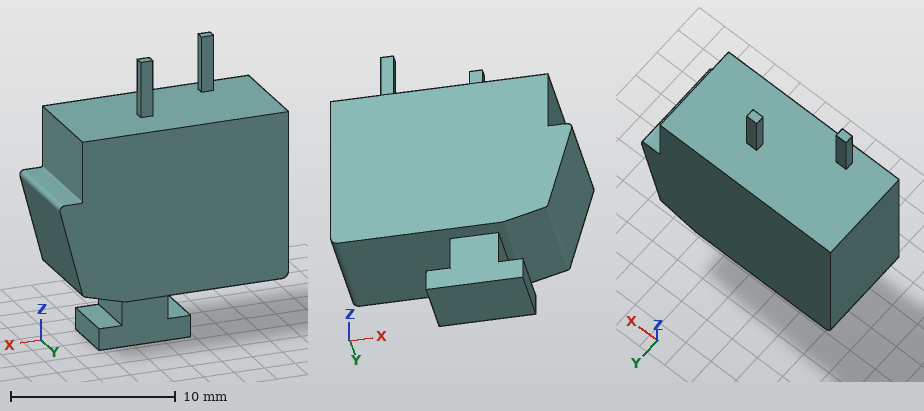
import cadquery as cq

total_length = 15.0
total_height = 18.1
body_width = 6.5

body_bottom = 3.64
body_top = 14.5
body_length = 13.52
nose_top = 10.52
nose_overlength = 0.09
slope_start = 10.72
chin_height = 0.75
chin_x = 13.48
bottom_corner_radius = 0.47
nose_tip_radius = 0.3
chin_radius = 0.22
step_radius = 0.1

foot_length = 6.01
foot_height = 1.41
stem_length = 3.0
foot_center_x = 8.75
foot_front = 0.98
foot_width = 3.82

pin_count = 2
pin_length = 0.8
pin_width = 0.6
pin_pitch_x = 5.0
pin_pitch_y = 2.5
first_pin_x = 3.31
first_pin_y = 1.25


def box(length, width, height, x_center, y_center, bottom):
    """Box centred in X and Y and standing on the given height."""
    return (
        cq.Workplane("XY", origin=(x_center, y_center, bottom))
        .box(length, width, height, centered=(True, True, False))
    )


def make_housing():
    """Side profile with a nose, extruded across the width and rounded."""
    nose_corner_x = total_length + nose_overlength
    chin_z = body_bottom + chin_height
    housing = (
        cq.Workplane("XZ")
        .moveTo(0, body_bottom)
        .lineTo(slope_start, body_bottom)
        .lineTo(chin_x, chin_z)
        .lineTo(nose_corner_x, nose_top)
        .lineTo(body_length, nose_top)
        .lineTo(body_length, body_top)
        .lineTo(0, body_top)
        .close()
        .extrude(-body_width)
    )
    rounded_corners = [
        (0, body_bottom, bottom_corner_radius),
        (nose_corner_x, nose_top, nose_tip_radius),
        (chin_x, chin_z, chin_radius),
        (body_length, nose_top, step_radius),
    ]
    for x, z, radius in rounded_corners:
        corner = cq.selectors.NearestToPointSelector((x, body_width / 2, z))
        housing = housing.edges("|Y").edges(corner).fillet(radius)
    return housing


def make_foot():
    """Flat foot hanging below the housing on a narrower stem."""
    foot_center_y = foot_front + foot_width / 2
    foot = box(foot_length, foot_width, foot_height, foot_center_x, foot_center_y, 0)
    stem = box(stem_length, foot_width, body_bottom, foot_center_x, foot_center_y, 0)
    return foot.union(stem)


def make_pin(index):
    """Pin standing on the housing, stepped diagonally by its index."""
    return box(
        pin_length,
        pin_width,
        total_height - body_top,
        first_pin_x + index * pin_pitch_x,
        first_pin_y + index * pin_pitch_y,
        body_top,
    )


result = make_housing().union(make_foot())
for pin_index in range(pin_count):
    result = result.union(make_pin(pin_index))